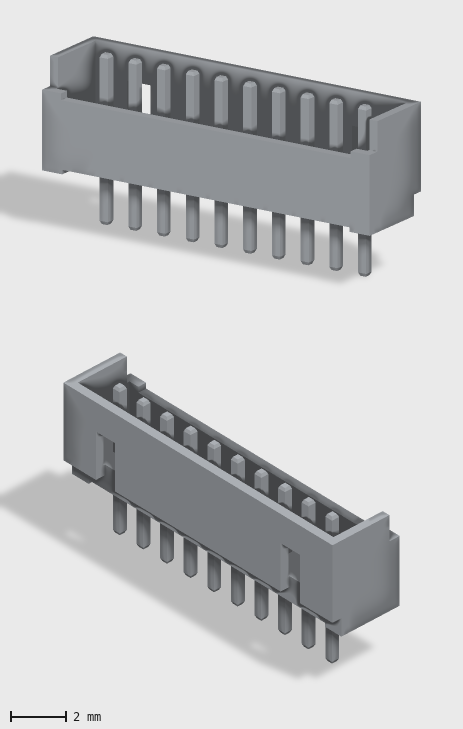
import cadquery as cq
import math


length = 14.25
depth = 3.33
height = 4.22
end_wall = 0.35
long_wall = 0.38
floor_top = 1.28

front_step_depth = 0.51
shoulder_height = 3.06
shoulder_width = 0.83
front_wall_height = 2.81

foot_width = 0.87
foot_height = 0.17
back_relief_depth = 0.44
back_relief_height = 0.81

slot_width = 1.01
slot_offset = 4.89
slot_top = 2.94

pin_count = 10
pin_row_length = 11.25
pin_pitch = pin_row_length / (pin_count - 1)
pin_size = 0.35
pin_y = 1.94
pin_bottom = -2.27
pin_top = 4.19
tip_height = 0.13
tip_inset = 0.05


def block(x_size, y_start, y_end, z_start, z_end, x_center=0):
    """Box centred at x_center, spanning the given Y and Z ranges."""
    return (
        cq.Workplane("XY")
        .box(x_size, y_end - y_start, z_end - z_start, centered=(True, False, False))
        .translate((x_center, y_start, z_start))
    )


def make_housing():
    housing = block(length, 0, depth, 0, height)

    cavity = block(length - 2 * end_wall, long_wall, depth - long_wall, floor_top, height)
    front_step = block(length, 0, front_step_depth, shoulder_height, height)
    front_dip = block(length - 2 * shoulder_width, 0, long_wall, front_wall_height, height)
    foot_gap = block(length - 2 * foot_width, 0, depth, 0, foot_height)
    back_relief = block(length, depth - back_relief_depth, depth, 0, back_relief_height)
    for cut in (cavity, front_step, front_dip, foot_gap, back_relief):
        housing = housing.cut(cut)

    for side in (-1, 1):
        slot = block(
            slot_width, depth - back_relief_depth, depth, back_relief_height, slot_top, side * slot_offset
        )
        housing = housing.cut(slot)
    return housing


def make_pin(x):
    """Square pin through the floor, tapering on all four sides at both ends."""
    shaft_bottom = pin_bottom + tip_height
    shaft_top = pin_top - tip_height
    taper_angle = math.degrees(math.atan2(tip_inset, tip_height))
    pin = block(
        pin_size, pin_y - pin_size / 2, pin_y + pin_size / 2, shaft_bottom, shaft_top, x
    )
    for shaft_end, direction in ((shaft_top, 1), (shaft_bottom, -1)):
        tip = (
            cq.Workplane("XY", origin=(x, pin_y, shaft_end))
            .rect(pin_size, pin_size)
            .extrude(direction * tip_height, taper=taper_angle)
        )
        pin = pin.union(tip)
    return pin


result = make_housing()
for index in range(pin_count):
    result = result.union(make_pin(index * pin_pitch - pin_row_length / 2))